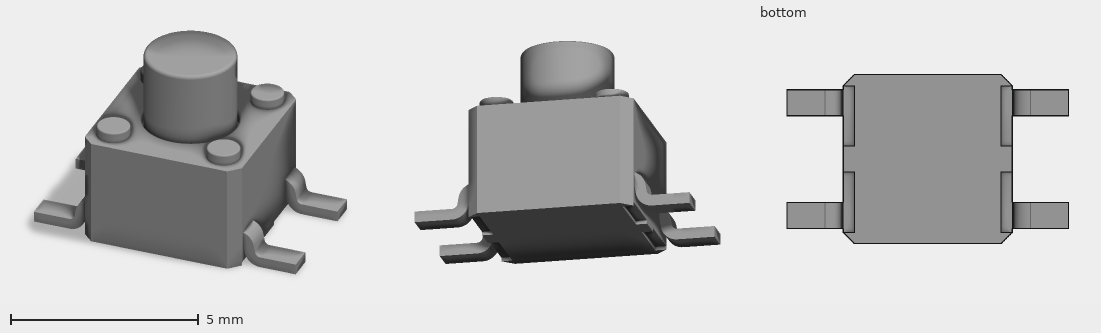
import cadquery as cq
import math

body_side = 4.5
body_height = 3.0
cover_thickness = 0.3
corner_chamfer = 0.3

total_height = 5.0
button_diameter = 2.5
button_edge_radius = 0.1
opening_diameter = 2.6
opening_rim_radius = 0.075

rivet_diameter = 0.9
rivet_height = 0.3
rivet_edge_radius = 0.045
rivet_offset = 1.575

lead_span = 7.5
lead_width = 0.7
lead_thickness = 0.3
lead_offset = 1.5
bend_inner_radius = 0.15
bend_outer_radius = bend_inner_radius + lead_thickness
bend_angle = 80.0
foot_length = 1.02
web_length = 0.195

notch_height = 0.1
notch_depth = 0.3
center_tab_width = 0.69


def make_housing():
    """Square block with chamfered corners and the button opening in its cover."""
    block = (
        cq.Workplane("XY")
        .rect(body_side, body_side)
        .extrude(body_height)
        .edges("|Z")
        .chamfer(corner_chamfer)
    )
    return (
        block.faces(">Z")
        .workplane()
        .hole(opening_diameter, cover_thickness)
        .faces(">Z")
        .edges("%CIRCLE")
        .fillet(opening_rim_radius)
    )


def make_button():
    """Round plunger standing on the floor of the opening."""
    floor = body_height - cover_thickness
    return (
        cq.Workplane("XY", origin=(0, 0, floor))
        .circle(button_diameter / 2)
        .extrude(total_height - floor)
        .faces(">Z")
        .edges()
        .fillet(button_edge_radius)
    )


def make_rivets():
    """Four rounded rivet heads in a square pattern."""
    return (
        cq.Workplane("XY", origin=(0, 0, body_height))
        .rect(2 * rivet_offset, 2 * rivet_offset, forConstruction=True)
        .vertices()
        .circle(rivet_diameter / 2)
        .extrude(rivet_height)
        .faces(">Z")
        .edges()
        .fillet(rivet_edge_radius)
    )


def point_on_arc(center, radius, degrees):
    angle = math.radians(degrees)
    return (center[0] + radius * math.cos(angle), center[1] + radius * math.sin(angle))


def make_lead(y):
    """S-bent strip on the -X side; its upper end is buried in the housing."""
    tip = -lead_span / 2
    lower = (tip + foot_length, bend_outer_radius)

    web_angle = math.radians(bend_angle)
    across = bend_inner_radius + bend_outer_radius
    upper = (
        lower[0] + across * math.sin(web_angle) + web_length * math.cos(web_angle),
        lower[1] - across * math.cos(web_angle) + web_length * math.sin(web_angle),
    )
    lower_end = bend_angle - 90
    lower_mid = bend_angle / 2 - 90
    upper_start = bend_angle + 90
    upper_mid = bend_angle / 2 + 90

    def lower_arc(radius, degrees):
        return point_on_arc(lower, radius, degrees)

    def upper_arc(radius, degrees):
        return point_on_arc(upper, radius, degrees)

    profile = (
        cq.Workplane("XZ", origin=(0, y + lead_width / 2, 0))
        .moveTo(tip, 0)
        .lineTo(lower[0], 0)
        .threePointArc(lower_arc(bend_outer_radius, lower_mid), lower_arc(bend_outer_radius, lower_end))
        .lineTo(*upper_arc(bend_inner_radius, upper_start))
        .threePointArc(upper_arc(bend_inner_radius, upper_mid), upper_arc(bend_inner_radius, 90))
        .lineTo(*upper_arc(bend_outer_radius, 90))
        .threePointArc(upper_arc(bend_outer_radius, upper_mid), upper_arc(bend_outer_radius, upper_start))
        .lineTo(*lower_arc(bend_inner_radius, lower_end))
        .threePointArc(lower_arc(bend_inner_radius, lower_mid), lower_arc(bend_inner_radius, -90))
        .lineTo(tip, lead_thickness)
        .close()
    )
    return profile.extrude(lead_width)


def make_notches():
    """Cutters that leave a center tab and the chamfered corners at full height."""
    outer_y = body_side / 2 - corner_chamfer
    inner_y = center_tab_width / 2
    cutter_center_x = (body_side - notch_depth) / 2
    cutter_center_y = (outer_y + inner_y) / 2
    return (
        cq.Workplane("XY")
        .rect(2 * cutter_center_x, 2 * cutter_center_y, forConstruction=True)
        .vertices()
        .rect(notch_depth, outer_y - inner_y)
        .extrude(notch_height)
    )


result = make_housing().cut(make_notches()).union(make_button()).union(make_rivets())
for lead_y in (-lead_offset, lead_offset):
    lead = make_lead(lead_y)
    result = result.union(lead).union(lead.mirror("YZ"))